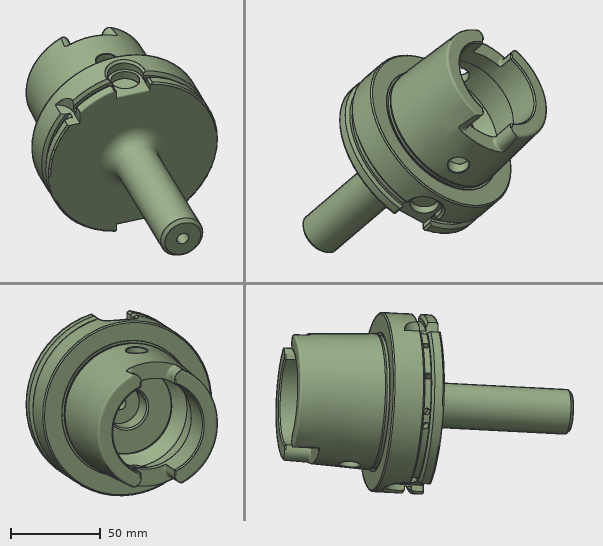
import cadquery as cq
import math

TOTAL_LENGTH = 160
FLANGE_START = 50.0
FLANGE_END = 78.9
FLANGE_RADIUS = 100.0 / 2
FLANGE_FRONT_CHAMFER = 0.8
FLANGE_BACK_FILLET = 1.0

TAPER_TIP_RADIUS = 35.5
TAPER_BASE_RADIUS = 38.0
TAPER_TIP_FILLET = 1.3
RELIEF_START = 47.7
RELIEF_FLOOR_START = 48.8
RELIEF_FLOOR_RADIUS = 37.5
RELIEF_RIM_RADIUS = 38.9
RELIEF_FACE_DEPTH = 0.5

GROOVE_CENTRE = 70.0
GROOVE_FLOOR_WIDTH = 3.8
GROOVE_RIM_WIDTH = 6.4
GROOVE_FLOOR_RADIUS = 46.0
GROOVE_FLANK_ANGLE = 30

GROOVE_HOLE_RADIUS = 1.8
GROOVE_HOLE_DEPTH = 8
GROOVE_HOLE_ANGLES = (30, 5, -20, -30)

SHANK_RADIUS = 12.5
SHANK_ROOT_FILLET = 8.2
SHANK_END_CHAMFER = 2.0

BORE_RADIUS = 26.5
BORE_MOUTH_CHAMFER = 0.8
BORE_STRAIGHT_DEPTH = 19.2
UNDERCUT_RADIUS = 31.2
UNDERCUT_DEPTH = 39.2
UNDERCUT_END_ANGLE = 30
SEAT_RADIUS = 25.6
SEAT_CHAMFER = 0.6
BORE_DEPTH = 49.6
RECESS_RADIUS = 11.4
RECESS_DEPTH = 12.8
RECESS_CHAMFER = 1.0
COOLANT_HOLE_RADIUS = 3.5

SLOT_HALF_WIDTH = 10.0
SLOT_SHOULDER_HEIGHT = 32.3
SLOT_SHOULDER_RADIUS = 5.0
SLOT_FLOOR_FILLET = 1.5
SLOT_MOUTH_CHAMFER = 0.8
UPPER_SLOT_DEPTH = 10.0
LOWER_SLOT_DEPTH = 15.0

RADIAL_HOLE_X = 34.9
RADIAL_HOLE_RADIUS = 6.0
RADIAL_HOLE_CHAMFER = 0.3

KEYWAY_X = 65.3
KEYWAY_HALF_WIDTH = 10.0
KEYWAY_FLOOR_HEIGHT = 44.0
KEYWAY_RIM_CHAMFER = 1.5
KEYWAY_END_FILLET = 1.0
KEYWAY_HOLE_RADIUS = 8
KEYWAY_HOLE_DEPTH = 4.8

NOTCH_OFFSET = 31.5
NOTCH_START = 58.0
NOTCH_CORNER_RADIUS = 9.6


CLEARANCE = 1.6
PICK_MARGIN = 0.2


def turned(outline):
    """Solid of revolution of a closed outline about the X axis."""
    return outline.revolve(360, (0, 0, 0), (1, 0, 0))


def turned_over(cutter):
    """The cutter turned half a turn about the X axis, from the +Z side to the -Z side."""
    return cutter.rotate((0, 0, 0), (1, 0, 0), 180)


def edges_between(x_range, half_width, z_range):
    """Selector for the edges centred within X and Z ranges and a half width in Y, with a margin."""
    x_low, x_high = x_range
    z_low, z_high = sorted(z_range)
    reach = half_width + PICK_MARGIN
    return cq.selectors.BoxSelector(
        (x_low - PICK_MARGIN, -reach, z_low - PICK_MARGIN),
        (x_high + PICK_MARGIN, reach, z_high + PICK_MARGIN),
    )


def turned_body():
    """Taper, plain flange and shank as one solid of revolution."""
    fillet_end = FLANGE_END + SHANK_ROOT_FILLET
    fillet_top = SHANK_RADIUS + SHANK_ROOT_FILLET
    outline = (
        cq.Workplane("XZ")
        .moveTo(0, 0)
        .lineTo(0, TAPER_TIP_RADIUS - TAPER_TIP_FILLET)
        .radiusArc((TAPER_TIP_FILLET, TAPER_TIP_RADIUS), TAPER_TIP_FILLET)
        .lineTo(RELIEF_START, TAPER_BASE_RADIUS)
        .lineTo(RELIEF_FLOOR_START, RELIEF_FLOOR_RADIUS)
        .lineTo(FLANGE_START + RELIEF_FACE_DEPTH, RELIEF_FLOOR_RADIUS)
        .lineTo(FLANGE_START + RELIEF_FACE_DEPTH, RELIEF_RIM_RADIUS)
        .lineTo(FLANGE_START, RELIEF_RIM_RADIUS)
        .lineTo(FLANGE_START, FLANGE_RADIUS - FLANGE_FRONT_CHAMFER)
        .lineTo(FLANGE_START + FLANGE_FRONT_CHAMFER, FLANGE_RADIUS)
        .lineTo(FLANGE_END, FLANGE_RADIUS)
        .lineTo(FLANGE_END, fillet_top)
        .radiusArc((fillet_end, SHANK_RADIUS), -SHANK_ROOT_FILLET)
        .lineTo(TOTAL_LENGTH - SHANK_END_CHAMFER, SHANK_RADIUS)
        .lineTo(TOTAL_LENGTH, SHANK_RADIUS - SHANK_END_CHAMFER)
        .lineTo(TOTAL_LENGTH, 0)
        .close()
    )
    return turned(outline)


def flange_groove():
    """Ring cutter for the V groove around the flange."""
    floor_half = GROOVE_FLOOR_WIDTH / 2
    rim_half = GROOVE_RIM_WIDTH / 2
    flank_drop = (rim_half - floor_half) / math.tan(math.radians(GROOVE_FLANK_ANGLE))
    clear_radius = FLANGE_RADIUS + CLEARANCE
    flank_foot_radius = FLANGE_RADIUS - flank_drop
    outline = (
        cq.Workplane("XZ")
        .moveTo(GROOVE_CENTRE - rim_half, clear_radius)
        .lineTo(GROOVE_CENTRE - rim_half, FLANGE_RADIUS)
        .lineTo(GROOVE_CENTRE - floor_half, flank_foot_radius)
        .lineTo(GROOVE_CENTRE - floor_half, GROOVE_FLOOR_RADIUS)
        .lineTo(GROOVE_CENTRE + floor_half, GROOVE_FLOOR_RADIUS)
        .lineTo(GROOVE_CENTRE + floor_half, flank_foot_radius)
        .lineTo(GROOVE_CENTRE + rim_half, FLANGE_RADIUS)
        .lineTo(GROOVE_CENTRE + rim_half, clear_radius)
        .close()
    )
    return turned(outline)


def flange_back_rounding():
    """Ring cutter that rounds the outer back edge of the flange."""
    clear_radius = FLANGE_RADIUS + CLEARANCE
    outline = (
        cq.Workplane("XZ")
        .moveTo(FLANGE_END - FLANGE_BACK_FILLET, clear_radius)
        .lineTo(FLANGE_END - FLANGE_BACK_FILLET, FLANGE_RADIUS)
        .radiusArc((FLANGE_END, FLANGE_RADIUS - FLANGE_BACK_FILLET), FLANGE_BACK_FILLET)
        .lineTo(FLANGE_END + CLEARANCE, FLANGE_RADIUS - FLANGE_BACK_FILLET)
        .lineTo(FLANGE_END + CLEARANCE, clear_radius)
        .close()
    )
    return turned(outline)


def axial_bores():
    """Bore with an undercut, a recess in its floor and a coolant hole through the shank."""
    seat_mouth_radius = SEAT_RADIUS + SEAT_CHAMFER
    end_taper = math.tan(math.radians(UNDERCUT_END_ANGLE))
    seat_start = UNDERCUT_DEPTH + (UNDERCUT_RADIUS - seat_mouth_radius) / end_taper
    recess_floor = BORE_DEPTH + RECESS_DEPTH
    outline = (
        cq.Workplane("XZ")
        .moveTo(0, 0)
        .lineTo(0, BORE_RADIUS + BORE_MOUTH_CHAMFER)
        .lineTo(BORE_MOUTH_CHAMFER, BORE_RADIUS)
        .lineTo(BORE_STRAIGHT_DEPTH, BORE_RADIUS)
        .lineTo(BORE_STRAIGHT_DEPTH, UNDERCUT_RADIUS)
        .lineTo(UNDERCUT_DEPTH, UNDERCUT_RADIUS)
        .lineTo(seat_start, seat_mouth_radius)
        .lineTo(seat_start + SEAT_CHAMFER, SEAT_RADIUS)
        .lineTo(BORE_DEPTH, SEAT_RADIUS)
        .lineTo(BORE_DEPTH, RECESS_RADIUS + RECESS_CHAMFER)
        .lineTo(BORE_DEPTH + RECESS_CHAMFER, RECESS_RADIUS)
        .lineTo(recess_floor, RECESS_RADIUS)
        .lineTo(recess_floor, COOLANT_HOLE_RADIUS)
        .lineTo(TOTAL_LENGTH, COOLANT_HOLE_RADIUS)
        .lineTo(TOTAL_LENGTH, 0)
        .close()
    )
    return turned(outline)


def drive_slot(depth):
    """Cutter for a slot on the +Z side, flaring over a rounded shoulder."""
    outer_half_width = 2 * SLOT_HALF_WIDTH
    top = TAPER_BASE_RADIUS
    arc_foot = SLOT_SHOULDER_HEIGHT - SLOT_SHOULDER_RADIUS
    arc_end = SLOT_HALF_WIDTH + SLOT_SHOULDER_RADIUS
    slot = (
        cq.Workplane("YZ")
        .moveTo(-SLOT_HALF_WIDTH, 0)
        .lineTo(SLOT_HALF_WIDTH, 0)
        .lineTo(SLOT_HALF_WIDTH, arc_foot)
        .radiusArc((arc_end, SLOT_SHOULDER_HEIGHT), SLOT_SHOULDER_RADIUS)
        .lineTo(outer_half_width, SLOT_SHOULDER_HEIGHT)
        .lineTo(outer_half_width, top)
        .lineTo(-outer_half_width, top)
        .lineTo(-outer_half_width, SLOT_SHOULDER_HEIGHT)
        .lineTo(-arc_end, SLOT_SHOULDER_HEIGHT)
        .radiusArc((-SLOT_HALF_WIDTH, arc_foot), SLOT_SHOULDER_RADIUS)
        .close()
        .extrude(depth)
    )
    floor_edges = edges_between((depth, depth), arc_end, (arc_foot / 2, SLOT_SHOULDER_HEIGHT))
    slot = slot.edges(floor_edges).fillet(SLOT_FLOOR_FILLET)
    mouth = (
        cq.Workplane("XY")
        .moveTo(0, -SLOT_HALF_WIDTH - SLOT_MOUTH_CHAMFER)
        .lineTo(SLOT_MOUTH_CHAMFER, -SLOT_HALF_WIDTH)
        .lineTo(SLOT_MOUTH_CHAMFER, SLOT_HALF_WIDTH)
        .lineTo(0, SLOT_HALF_WIDTH + SLOT_MOUTH_CHAMFER)
        .close()
        .extrude(arc_foot)
    )
    return slot.union(mouth)


def keyway():
    """Cutter for a round-ended keyway on the +Z side with a blind hole in its floor."""
    height = FLANGE_RADIUS - KEYWAY_FLOOR_HEIGHT + CLEARANCE
    floor = cq.Workplane("XY", origin=(KEYWAY_X, 0, KEYWAY_FLOOR_HEIGHT))
    open_length = 2 * (FLANGE_END - KEYWAY_X)
    pocket = (
        floor.moveTo(0, KEYWAY_HALF_WIDTH)
        .threePointArc((-KEYWAY_HALF_WIDTH, 0), (0, -KEYWAY_HALF_WIDTH))
        .lineTo(open_length, -KEYWAY_HALF_WIDTH)
        .lineTo(open_length, KEYWAY_HALF_WIDTH)
        .close()
        .extrude(height)
    )
    hole = floor.circle(KEYWAY_HOLE_RADIUS).extrude(-KEYWAY_HOLE_DEPTH)
    return pocket.union(hole)


def orientation_notch():
    """Cutter for the notch between the +Z and -Y sides, with one rounded upright corner."""
    size = FLANGE_RADIUS - NOTCH_OFFSET
    return (
        cq.Workplane("XY", origin=(NOTCH_START, -NOTCH_OFFSET, NOTCH_OFFSET))
        .moveTo(NOTCH_CORNER_RADIUS, 0)
        .lineTo(FLANGE_END - NOTCH_START, 0)
        .lineTo(FLANGE_END - NOTCH_START, -size)
        .lineTo(0, -size)
        .lineTo(0, -NOTCH_CORNER_RADIUS)
        .radiusArc((NOTCH_CORNER_RADIUS, 0), NOTCH_CORNER_RADIUS)
        .close()
        .extrude(size)
    )


def groove_hole(angle):
    """Cutter for a blind radial hole in the groove floor, turned from -Y towards +Z."""
    return (
        cq.Workplane("XZ", origin=(GROOVE_CENTRE, GROOVE_HOLE_DEPTH - GROOVE_FLOOR_RADIUS, 0))
        .circle(GROOVE_HOLE_RADIUS)
        .extrude(GROOVE_HOLE_DEPTH + CLEARANCE)
        .rotate((0, 0, 0), (1, 0, 0), -angle)
    )


def bevelled_radial_hole(body):
    """Drill the hole through both sides of the taper and bevel its outer rims."""
    hole = (
        cq.Workplane("XY", origin=(RADIAL_HOLE_X, 0, -FLANGE_RADIUS))
        .circle(RADIAL_HOLE_RADIUS)
        .extrude(2 * FLANGE_RADIUS)
    )
    body = body.cut(hole)
    for side in (-1, 1):
        rim = edges_between(
            (RADIAL_HOLE_X - RADIAL_HOLE_RADIUS, RADIAL_HOLE_X + RADIAL_HOLE_RADIUS),
            RADIAL_HOLE_RADIUS,
            (side * TAPER_TIP_RADIUS, side * TAPER_BASE_RADIUS),
        )
        body = body.edges(rim).chamfer(RADIAL_HOLE_CHAMFER)
    return body


def bevelled_keyways(body):
    """Cut the keyways on both sides of the flange, then bevel the rims and round the floor ends."""
    rim_height = math.sqrt(FLANGE_RADIUS**2 - KEYWAY_HALF_WIDTH**2)
    body = body.cut(keyway()).cut(turned_over(keyway()))
    for side in (-1, 1):
        rim = edges_between(
            (KEYWAY_X - KEYWAY_HALF_WIDTH, FLANGE_END - KEYWAY_END_FILLET),
            KEYWAY_HALF_WIDTH,
            (side * rim_height, side * FLANGE_RADIUS),
        )
        body = body.edges(rim).chamfer(KEYWAY_RIM_CHAMFER)
        floor_end = edges_between((FLANGE_END, FLANGE_END), 0, (side * KEYWAY_FLOOR_HEIGHT,) * 2)
        body = body.edges(floor_end).fillet(KEYWAY_END_FILLET)
    return body


body = bevelled_radial_hole(turned_body().cut(axial_bores()))
body = bevelled_keyways(body)
body = body.cut(drive_slot(UPPER_SLOT_DEPTH))
body = body.cut(turned_over(drive_slot(LOWER_SLOT_DEPTH)))
body = body.cut(flange_groove()).cut(flange_back_rounding()).cut(orientation_notch())
for hole_angle in GROOVE_HOLE_ANGLES:
    body = body.cut(groove_hole(hole_angle))

result = body